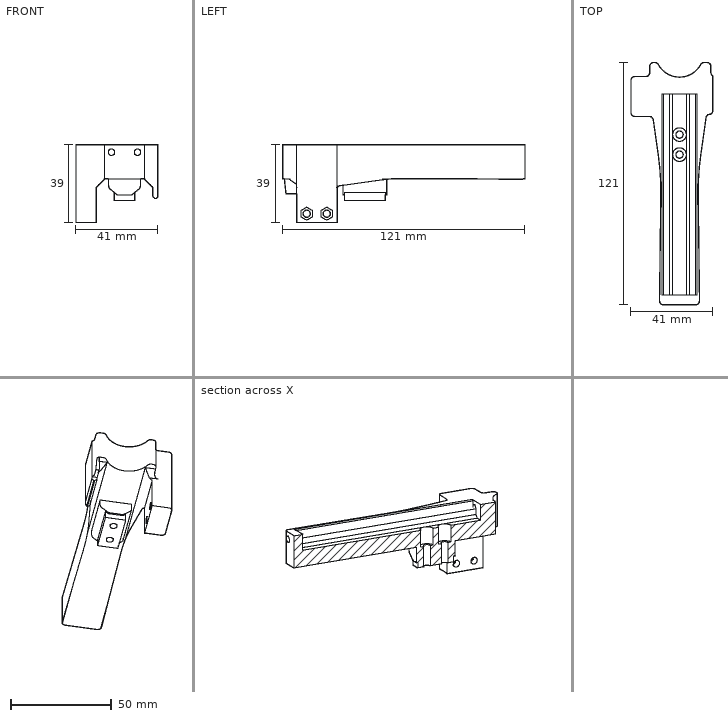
import cadquery as cq
import math


length = 121.0
post_height = 39.0
post_left = -24.3
hook_right = 16.7
body_depth = 17.1

arm_front_half = 10.05
arm_waist_half = 9.3
waist_y = 65.2
waist_round = 124.0
flare_slope = 0.142

post_front_y = 94.0
head_back_y = 114.0
hook_front_y = 95.0
ear_left = -14.9
ear_right = 15.7
saddle_radius = 12.0
saddle_bottom_y = 113.7
corner_radius = 2.0
step_radius = 1.5

haunch_start = 9.7
post_inner = 14.0
ear_ramp_length = 4.0
ear_ramp_drop = 2.8

hook_depth = 27.0
hook_chamfer_inner = 1.25
hook_chamfer_outer = 1.0
rear_hook_depth = 24.6
rear_hook_top_y = 120.2
rear_hook_bottom_y = 119.4

tray_front_y = 5.0
tray_back_y = 105.15
tray_edge_chamfer = 0.6
tray_depth = 8.3
floor_half = 3.4
gutter_half = 4.9
rod_x = 6.5
rod_z = -3.8
rod_radius = 1.6
rod_socket_depth = 5.0

pad_y = 80.0
pad_length = 22.0
pad_half = 8.0
pad_side_bottom = 21.6
pad_bottom_half = 3.65
pad_bottom = 25.1
pad_round = 2.3
key_length = 20.5
key_half = 5.15
key_bottom = 28.0

screw_spacing = 10.0
screw_diameter = 3.5
counterbore_diameter = 6.8
nut_hole_y = 104.0
nut_hole_z = -34.5
nut_across_flats = 5.6
nut_sides = 6
nut_pocket_depth = 6.0


def flare_half(y):
    """Half width of the straight flare at distance y along the arm."""
    return arm_waist_half + flare_slope * (y - waist_y)


def box(x0, x1, y0, y1, z0, z1):
    return cq.Workplane("XY").box(x1 - x0, y1 - y0, z1 - z0, centered=False).translate((x0, y0, z0))


def along_y(points, y0, y1):
    """Prism of an (x, z) polygon between y0 and y1."""
    return cq.Workplane("XZ", origin=(0, y0, 0)).polyline(points).close().extrude(y0 - y1)


def cylinder_y(x, z, radius, y0, y1):
    return cq.Workplane("XZ", origin=(0, y0, 0)).center(x, z).circle(radius).extrude(y0 - y1)


def round_upright(solid, corner, radius):
    """Fillet the vertical edge standing at the (x, y) corner."""
    x, y = corner
    reach = 0.05
    selector = cq.selectors.BoxSelector(
        (x - reach, y - reach, -post_height), (x + reach, y + reach, 0)
    )
    return solid.edges(selector).fillet(radius)


def outline_prism():
    """Plan outline of arm, head and ears, extruded over the full post height."""
    saddle_y = saddle_bottom_y + saddle_radius
    saddle_half = math.sqrt(saddle_radius**2 - (saddle_y - length) ** 2)

    step_y = head_back_y + corner_radius
    step_end_y = step_y - math.sqrt(corner_radius**2 - (ear_right + corner_radius - hook_right) ** 2)

    arm_front_left = (-arm_front_half, 0)
    arm_front_right = (arm_front_half, 0)
    waist_left = (-arm_waist_half, waist_y)
    waist_right = (arm_waist_half, waist_y)
    root_right = (flare_half(hook_front_y), hook_front_y)
    root_left = (-flare_half(post_front_y), post_front_y)
    hook_front = (hook_right, hook_front_y)
    ear_tip_right = (ear_right, length)
    ear_tip_left = (ear_left, length)
    saddle_end_right = (saddle_half, length)
    saddle_end_left = (-saddle_half, length)
    ear_root_left = (ear_left, head_back_y)
    post_back = (post_left, head_back_y)
    post_front = (post_left, post_front_y)

    prism = (
        cq.Workplane("XY")
        .moveTo(*arm_front_left)
        .lineTo(*arm_front_right)
        .lineTo(*waist_right)
        .lineTo(*root_right)
        .lineTo(*hook_front)
        .lineTo(hook_right, step_end_y)
        .radiusArc((ear_right, step_y), corner_radius)
        .lineTo(*ear_tip_right)
        .lineTo(*saddle_end_right)
        .threePointArc((0, saddle_bottom_y), saddle_end_left)
        .lineTo(*ear_tip_left)
        .lineTo(*ear_root_left)
        .lineTo(*post_back)
        .lineTo(*post_front)
        .lineTo(*root_left)
        .lineTo(*waist_left)
        .close()
        .extrude(-post_height)
    )
    for corner in (arm_front_left, arm_front_right, hook_front, ear_tip_right, saddle_end_right,
                   saddle_end_left, ear_tip_left, ear_root_left, post_back, post_front, root_left):
        prism = round_upright(prism, corner, corner_radius)
    prism = round_upright(prism, root_right, step_radius)
    for corner in (waist_left, waist_right):
        prism = round_upright(prism, corner, waist_round)
    return prism


def haunch_envelope():
    """Space above the underside: flat in the middle, 45 degree haunches, ramp up under the ears."""
    haunch_depth = body_depth + post_inner - haunch_start
    profile = [
        (post_left, 0),
        (hook_right, 0),
        (hook_right, -haunch_depth),
        (post_inner, -haunch_depth),
        (haunch_start, -body_depth),
        (-haunch_start, -body_depth),
        (-post_inner, -haunch_depth),
        (post_left, -haunch_depth),
    ]
    ramp = [
        (0, 0),
        (length, 0),
        (length, -body_depth),
        (head_back_y + ear_ramp_length, -body_depth),
        (head_back_y, -body_depth - ear_ramp_drop),
        (head_back_y, -haunch_depth),
        (0, -haunch_depth),
    ]
    ramp_prism = (
        cq.Workplane("YZ", origin=(post_left, 0, 0))
        .polyline(ramp)
        .close()
        .extrude(hook_right - post_left)
    )
    return along_y(profile, 0, length).intersect(ramp_prism)


def hook_envelope():
    """Downward lip on the right: chamfered tip, with a shorter tail that leans under the ear."""
    tip = [
        (post_inner, 0),
        (hook_right, 0),
        (hook_right, hook_chamfer_outer - hook_depth),
        (hook_right - hook_chamfer_outer, -hook_depth),
        (post_inner + hook_chamfer_inner, -hook_depth),
        (post_inner, hook_chamfer_inner - hook_depth),
    ]
    tail = [
        (head_back_y, 0),
        (rear_hook_top_y, 0),
        (rear_hook_top_y, -body_depth),
        (rear_hook_bottom_y, -rear_hook_depth),
        (head_back_y, -rear_hook_depth),
    ]
    tail_prism = (
        cq.Workplane("YZ", origin=(post_inner, 0, 0))
        .polyline(tail)
        .close()
        .extrude(hook_right - post_inner)
    )
    return along_y(tip, 0, head_back_y).union(tail_prism)


def bracket_body():
    """Outline prism trimmed to the underside, the post and the hook."""
    post = box(post_left, -post_inner, 0, head_back_y, -post_height, 0)
    envelope = haunch_envelope().union(post).union(hook_envelope())
    return outline_prism().intersect(envelope)


def screw_pad():
    """Rounded pad under the arm with a square key below it."""
    profile = [
        (-pad_half, -body_depth),
        (pad_half, -body_depth),
        (pad_half, -pad_side_bottom),
        (pad_bottom_half, -pad_bottom),
        (-pad_bottom_half, -pad_bottom),
        (-pad_half, -pad_side_bottom),
    ]
    pad_front = pad_y - pad_length / 2
    pad = along_y(profile, pad_front, pad_front + pad_length)
    for side in (-1, 1):
        edge = cq.selectors.NearestToPointSelector((side * pad_half, pad_y, -pad_side_bottom))
        pad = pad.edges("|Y").edges(edge).fillet(pad_round)
    key_front = pad_y - key_length / 2
    key = box(-key_half, key_half, key_front, key_front + key_length, -key_bottom, -body_depth)
    return pad.union(key)


def tray():
    """Open channel with a floor, sloped gutters and a rod seat along each side."""
    mouth_half = rod_x + rod_radius
    slope = gutter_half - floor_half
    half_profile = [
        (mouth_half + tray_edge_chamfer, 0),
        (mouth_half, -tray_edge_chamfer),
        (mouth_half, rod_z),
        (gutter_half, rod_z),
        (gutter_half, slope - tray_depth),
        (floor_half, -tray_depth),
    ]
    mirrored = [(-x, z) for x, z in reversed(half_profile)]
    return along_y(half_profile + mirrored, tray_front_y, tray_back_y)


def rods():
    """Rod bores, open at the front and ending in blind sockets behind the tray."""
    socket_end = tray_back_y + rod_socket_depth
    left = cylinder_y(-rod_x, rod_z, rod_radius, 0, socket_end)
    return left.union(cylinder_y(rod_x, rod_z, rod_radius, 0, socket_end))


def arm_screws():
    """Two vertical screw holes, counterbored from the tray floor to the pad."""
    points = [(0, pad_y - screw_spacing / 2), (0, pad_y + screw_spacing / 2)]
    holes = (
        cq.Workplane("XY").pushPoints(points).circle(screw_diameter / 2).extrude(-key_bottom)
    )
    bores = (
        cq.Workplane("XY").pushPoints(points).circle(counterbore_diameter / 2).extrude(-body_depth)
    )
    return holes.union(bores)


def post_screws():
    """Two cross holes through the post with hexagonal nut pockets in its outer face."""
    plane = cq.Workplane("YZ", origin=(post_left, 0, 0))
    points = [(nut_hole_y - screw_spacing / 2, nut_hole_z), (nut_hole_y + screw_spacing / 2, nut_hole_z)]
    holes = plane.pushPoints(points).circle(screw_diameter / 2).extrude(-post_inner - post_left)
    corner_diameter = 2 * nut_across_flats / math.sqrt(3)
    for y, z in points:
        nut = plane.polygon(nut_sides, corner_diameter).extrude(nut_pocket_depth)
        nut = nut.rotate((0, 0, 0), (1, 0, 0), 180 / nut_sides)
        holes = holes.union(nut.translate((0, y, z)))
    return holes


bracket = bracket_body().union(screw_pad())
result = bracket.cut(tray()).cut(rods()).cut(arm_screws()).cut(post_screws()).clean()